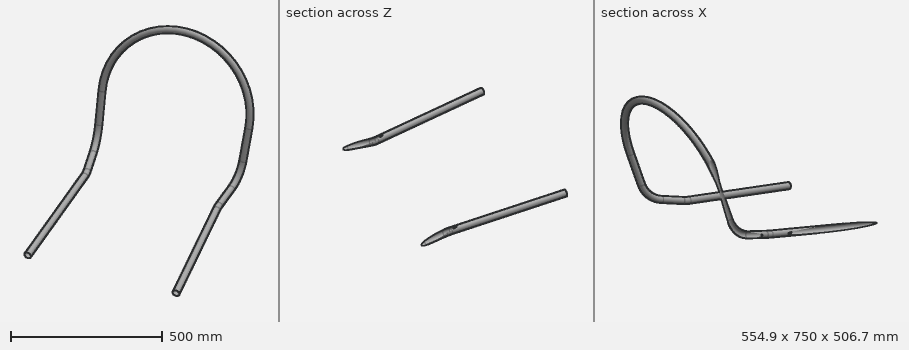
import cadquery as cq
import math


tube_diameter = 25.0
wall_thickness = 1.0
bend_radius = 100.0

rail_end_x = 265.0
knee_x = 234.8
knee_y = 438.0
knee_z = 32.4

hoop_radius = 262.5
hoop_lean = math.radians(19.9)
hoop_top_y = 736.25
hoop_top_z = 481.72
elbow_drop = 186.2
leg_splay = math.radians(2.4)


def hoop_point(across, up):
    """Point of the hoop plane, measured from the hoop centre."""
    below_top = hoop_radius - up
    return cq.Vector(
        across,
        hoop_top_y - below_top * math.sin(hoop_lean),
        hoop_top_z - below_top * math.cos(hoop_lean),
    )


def mirrored(point):
    """The matching point on the other side of the frame."""
    return cq.Vector(-point.x, point.y, point.z)


def bend(before, corner, after):
    """Start, middle and end of the bend that rounds a corner of the centreline."""
    to_before = (before - corner).normalized()
    to_after = (after - corner).normalized()
    half_angle = to_before.getAngle(to_after) / 2
    setback = bend_radius / math.tan(half_angle)
    middle_distance = bend_radius / math.sin(half_angle) - bend_radius
    middle = corner + (to_before + to_after).normalized() * middle_distance
    return corner + to_before * setback, middle, corner + to_after * setback


def centreline():
    """Wire from one open end to the other: lines of two points and arcs of three."""
    rail_end = cq.Vector(rail_end_x, 0, 0)
    knee = cq.Vector(knee_x, knee_y, knee_z)
    elbow_x = (hoop_radius - elbow_drop * math.sin(leg_splay)) / math.cos(leg_splay)
    elbow = hoop_point(elbow_x, -elbow_drop)
    hoop_start = hoop_point(hoop_radius * math.cos(leg_splay), -hoop_radius * math.sin(leg_splay))
    hoop_top = hoop_point(0, hoop_radius)

    knee_bend = bend(rail_end, knee, elbow)
    elbow_bend = bend(knee, elbow, hoop_start)
    right_side = [
        (rail_end, knee_bend[0]),
        knee_bend,
        (knee_bend[2], elbow_bend[0]),
        elbow_bend,
        (elbow_bend[2], hoop_start),
    ]
    left_side = [[mirrored(point) for point in reversed(piece)] for piece in reversed(right_side)]
    hoop = (hoop_start, hoop_top, mirrored(hoop_start))

    edges = []
    for piece in [*right_side, hoop, *left_side]:
        if len(piece) == 2:
            edges.append(cq.Edge.makeLine(*piece))
        else:
            edges.append(cq.Edge.makeThreePointArc(*piece))
    return cq.Wire.assembleEdges(edges)


def make_tube():
    """Ring section swept along the centreline, square to the rail at the open end."""
    path = centreline()
    end_plane = cq.Plane(origin=path.startPoint(), normal=path.tangentAt(0))
    outer_radius = tube_diameter / 2
    section = cq.Workplane(end_plane).circle(outer_radius).circle(outer_radius - wall_thickness)
    return section.sweep(cq.Workplane(path))


result = make_tube().solids()